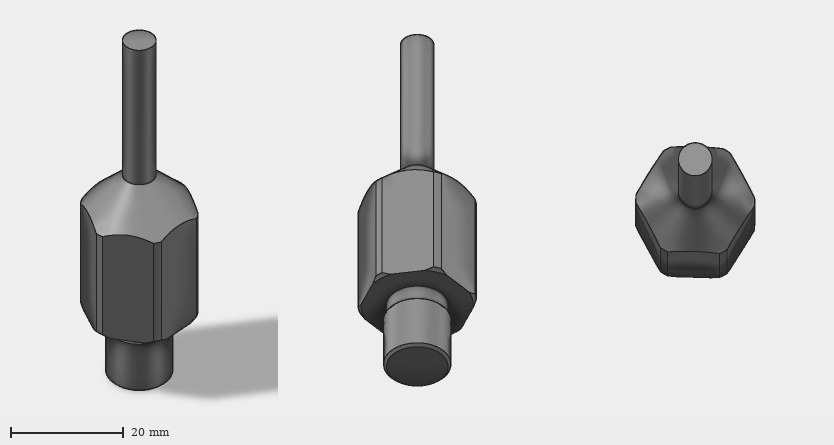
import cadquery as cq

total_length = 74.0
spigot_length = 14.0
pin_length = 30.0
pin_base = total_length - pin_length

pin_diameter = 6.0
body_diameter = 21.2
spigot_diameter = 12.0
neck_diameter = 11.0

across_flats = 19.0
flat_turn = 90

spigot_chamfer = 0.5
neck_length = 2.8
neck_chamfer = (spigot_diameter - neck_diameter) / 2
body_chamfer = 0.6


def make_body():
    """Hexagonal body with turned corners, a 45 degree shoulder and a broken lower edge."""
    pin_radius = pin_diameter / 2
    body_radius = body_diameter / 2
    shoulder_base = pin_base - (body_radius - pin_radius)
    turned_envelope = (
        cq.Workplane("XZ")
        .moveTo(0, spigot_length)
        .lineTo(body_radius - body_chamfer, spigot_length)
        .lineTo(body_radius, spigot_length + body_chamfer)
        .lineTo(body_radius, shoulder_base)
        .lineTo(pin_radius, pin_base)
        .lineTo(0, pin_base)
        .close()
        .revolve(360, (0, 0, 0), (0, 1, 0))
    )
    hexagon = (
        cq.Workplane("XY")
        .workplane(offset=spigot_length)
        .polygon(6, across_flats, circumscribed=True)
        .extrude(pin_base - spigot_length)
        .rotate((0, 0, 0), (0, 0, 1), flat_turn)
    )
    return hexagon.intersect(turned_envelope)


def make_spigot():
    """Round spigot with a chamfered end and a relief neck below the body."""
    spigot_radius = spigot_diameter / 2
    neck_radius = neck_diameter / 2
    neck_base = spigot_length - neck_length
    return (
        cq.Workplane("XZ")
        .lineTo(spigot_radius - spigot_chamfer, 0)
        .lineTo(spigot_radius, spigot_chamfer)
        .lineTo(spigot_radius, neck_base - neck_chamfer)
        .lineTo(neck_radius, neck_base)
        .lineTo(neck_radius, spigot_length)
        .lineTo(0, spigot_length)
        .close()
        .revolve(360, (0, 0, 0), (0, 1, 0))
    )


def make_pin():
    """Plain cylindrical pin on top of the shoulder."""
    return (
        cq.Workplane("XY")
        .workplane(offset=pin_base)
        .circle(pin_diameter / 2)
        .extrude(pin_length)
    )


result = make_body().union(make_spigot()).union(make_pin())